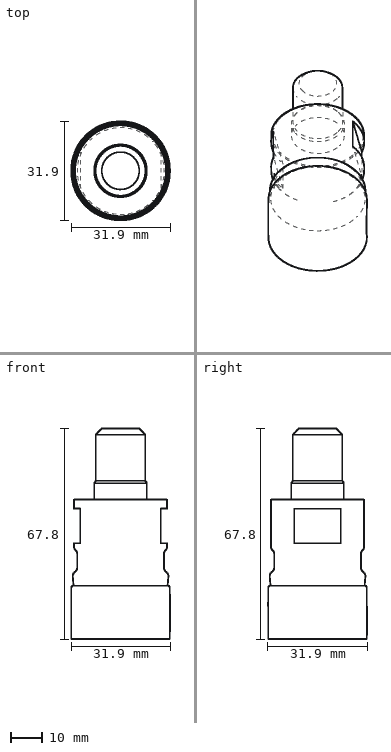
import cadquery as cq

sleeve_height = 17.2
sleeve_end_diameter = 31.8
sleeve_max_diameter = 31.9
sleeve_end_radius = sleeve_end_diameter / 2
sleeve_max_radius = sleeve_max_diameter / 2
sleeve_lip_round = 0.7
sleeve_bottom_round = 0.3

shoulder_bottom_radius = 15.2
shoulder_top_radius = 15.45
shoulder_taper_top_z = 20.25
shoulder_round_top_z = 21.5
shoulder_round_top_radius = 14.8
shoulder_round_radius = 1.5
neck_radius = 28.0 / 2
neck_fillet_height = 1.0
neck_fillet_width = 0.3
neck_fillet_radius = 1.5
neck_bottom_z = 23.1
neck_top_z = 27.45
collar_radius = 30.0 / 2
collar_bottom_z = 29.7
collar_top_z = 45.0
collar_chamfer_width = 0.4
collar_chamfer_height = 0.2

stud_base_radius = 17.0 / 2
stud_base_top_z = 50.1
stud_radius = 16.0 / 2
stud_step_height = 0.8
total_height = 67.75
stud_tip_chamfer = 1.95

flat_spacing = 26.0
flat_bottom_z = 30.9
flat_top_z = 41.9


def revolve_about_z(profile):
    """Revolve a closed profile drawn in the XZ plane around the Z axis."""
    return profile.close().revolve(360, (0, 0, 0), (0, 1, 0))


def make_sleeve():
    barrel_middle_z = (sleeve_bottom_round + sleeve_height - sleeve_lip_round) / 2
    profile = (
        cq.Workplane("XZ")
        .lineTo(sleeve_end_radius - sleeve_bottom_round, 0)
        .radiusArc((sleeve_end_radius, sleeve_bottom_round), -sleeve_bottom_round)
        .threePointArc(
            (sleeve_max_radius, barrel_middle_z),
            (sleeve_end_radius, sleeve_height - sleeve_lip_round),
        )
        .radiusArc((sleeve_end_radius - sleeve_lip_round, sleeve_height), -sleeve_lip_round)
        .lineTo(0, sleeve_height)
    )
    return revolve_about_z(profile)


def make_body_blank():
    curve_middle = ((collar_radius + neck_radius) / 2, (collar_bottom_z + neck_top_z) / 2)
    half_run = (collar_radius - neck_radius) / 2
    half_rise = (collar_bottom_z - neck_top_z) / 2
    curve_radius = (half_run**2 + half_rise**2) / (2 * half_run)
    profile = (
        cq.Workplane("XZ")
        .moveTo(0, sleeve_height)
        .lineTo(shoulder_bottom_radius, sleeve_height)
        .lineTo(shoulder_top_radius, shoulder_taper_top_z)
        .radiusArc((shoulder_round_top_radius, shoulder_round_top_z), -shoulder_round_radius)
        .lineTo(neck_radius + neck_fillet_width, neck_bottom_z - neck_fillet_height)
        .radiusArc((neck_radius, neck_bottom_z), neck_fillet_radius)
        .lineTo(neck_radius, neck_top_z)
        .radiusArc(curve_middle, curve_radius)
        .radiusArc((collar_radius, collar_bottom_z), -curve_radius)
        .lineTo(collar_radius, collar_top_z - collar_chamfer_height)
        .lineTo(collar_radius - collar_chamfer_width, collar_top_z)
        .lineTo(stud_base_radius, collar_top_z)
        .lineTo(stud_base_radius, stud_base_top_z)
        .lineTo(stud_radius, stud_base_top_z + stud_step_height)
        .lineTo(stud_radius, total_height - stud_tip_chamfer)
        .lineTo(stud_radius - stud_tip_chamfer, total_height)
        .lineTo(0, total_height)
    )
    return revolve_about_z(profile)


def cut_flats(body):
    for side in (-1, 1):
        cutter = cq.Workplane("XY").box(
            collar_radius, 2 * collar_radius, flat_top_z - flat_bottom_z
        ).translate((side * (flat_spacing + collar_radius) / 2, 0, (flat_bottom_z + flat_top_z) / 2))
        body = body.cut(cutter)
    return body


sleeve = make_sleeve()
body = cut_flats(make_body_blank())
result = cq.Compound.makeCompound([sleeve.val(), body.val()])